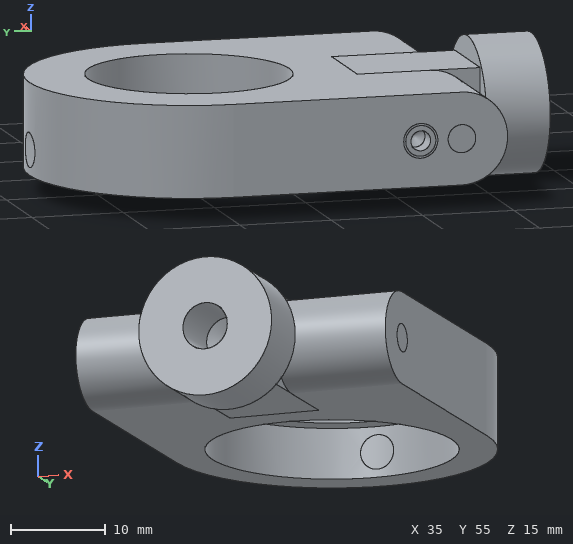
import cadquery as cq
import math

overall_length = 55.0
width = 35.0
thickness = 10.0
ring_radius = width / 2
bore_radius = 11.0
counterbore_radius = 13.4
counterbore_depth = 5.5
hinge_radius = thickness / 2
hinge_y = -25.0

block_width = thickness
block_back_y = -17.05
head_diameter = 15.0
head_length = 7.0
head_front_y = ring_radius - overall_length
head_back_y = head_front_y + head_length
head_hole_diameter = 5.0
head_hole_depth = head_length
drill_tip_angle = 118.0

pin_diameter = 3.0

sleeve_diameter = 3.75
screw_diameter = 3.3
socket_diameter = 2.15
socket_depth = 2.2
screw_y = hinge_y + 4.5
screw_length = (width - block_width) / 2

peg_diameter = 3.75
peg_z = (counterbore_depth - thickness) / 2


def drill(diameter, depth):
    """Drill shape that starts at the origin, runs along +Z and ends in a cone."""
    radius = diameter / 2
    tip = radius / math.tan(math.radians(drill_tip_angle / 2))
    profile = [(0, 0), (radius, 0), (radius, depth), (0, depth + tip)]
    return cq.Workplane("XZ").polyline(profile).close().revolve(360, (0, 0), (0, 1))


def pin_cylinder():
    """Full-width cylinder on the hinge axis."""
    return cq.Workplane("YZ").center(hinge_y, 0).circle(pin_diameter / 2).extrude(width / 2, both=True)


def screw_cylinder(diameter):
    """Cylinder along X from the -X side of the housing to the latch block."""
    return (
        cq.Workplane("YZ", origin=(-width / 2, screw_y, 0))
        .circle(diameter / 2).extrude(screw_length)
    )


def make_peg():
    """Radial peg whose ends follow the counterbore wall and the outside of the ring."""
    cylinder = (
        cq.Workplane("XZ", origin=(0, 0, peg_z))
        .circle(peg_diameter / 2).extrude(-ring_radius)
    )
    ring_wall = (
        cq.Workplane("XY").circle(ring_radius).circle(counterbore_radius)
        .extrude(thickness, both=True)
    )
    return cylinder.intersect(ring_wall)


def make_housing():
    plate = (
        cq.Workplane("XY").workplane(offset=-thickness / 2)
        .moveTo(-ring_radius, hinge_y - hinge_radius)
        .lineTo(-ring_radius, 0)
        .threePointArc((0, ring_radius), (ring_radius, 0))
        .lineTo(ring_radius, hinge_y - hinge_radius)
        .close().extrude(thickness)
    )
    side_outline = (
        cq.Workplane("YZ")
        .moveTo(ring_radius, -hinge_radius)
        .lineTo(hinge_y, -hinge_radius)
        .threePointArc((hinge_y - hinge_radius, 0), (hinge_y, hinge_radius))
        .lineTo(ring_radius, hinge_radius)
        .close().extrude(width / 2, both=True)
    )
    bore = cq.Workplane("XY").circle(bore_radius).extrude(thickness, both=True)
    counterbore = (
        cq.Workplane("XY").workplane(offset=-thickness / 2)
        .circle(counterbore_radius).extrude(counterbore_depth)
    )
    return (
        plate.intersect(side_outline).cut(bore).cut(counterbore)
        .cut(make_block())
        .cut(pin_cylinder())
        .cut(screw_cylinder(sleeve_diameter))
        .cut(make_peg())
    )


def make_block():
    """Square shank that fills the slot in the hinge end."""
    length = block_back_y - head_back_y
    block = cq.Workplane("XY").box(block_width, length, thickness)
    return block.translate((0, head_back_y + length / 2, 0))


def make_latch():
    head = (
        cq.Workplane("XZ", origin=(0, head_back_y, 0))
        .circle(head_diameter / 2).extrude(head_length)
    )
    hole = (
        drill(head_hole_diameter, head_hole_depth)
        .rotate((0, 0, 0), (1, 0, 0), -90).translate((0, head_front_y, 0))
    )
    return make_block().union(head).cut(hole).cut(pin_cylinder())


def make_pin():
    return pin_cylinder()


def make_sleeve():
    return screw_cylinder(sleeve_diameter).cut(screw_cylinder(screw_diameter))


def make_screw():
    """Set screw with a drilled socket in its outer end."""
    socket = (
        drill(socket_diameter, socket_depth)
        .rotate((0, 0, 0), (0, 1, 0), 90).translate((-width / 2, screw_y, 0))
    )
    return screw_cylinder(screw_diameter).cut(socket)


housing = make_housing()
latch = make_latch()
pin = make_pin()
sleeve = make_sleeve()
screw = make_screw()
peg = make_peg()

result = cq.Compound.makeCompound([
    housing.val(),
    latch.val(),
    pin.val(),
    sleeve.val(),
    screw.val(),
    peg.val(),
])